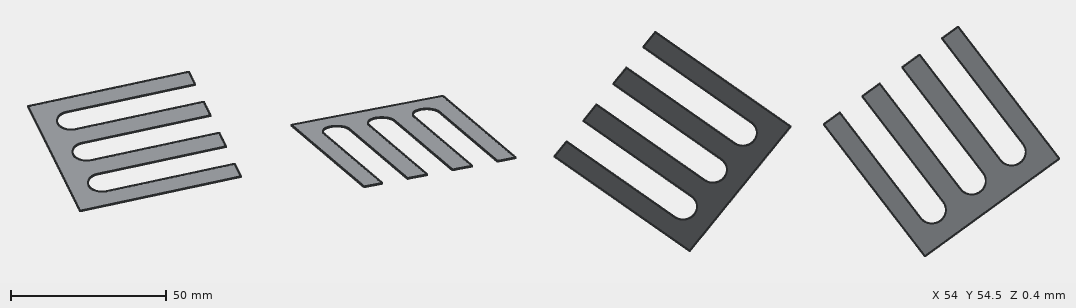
import cadquery as cq

plate_width = 54.0
plate_length = 54.5
plate_thickness = 0.4

slot_count = 3
slot_width = 9.0
slot_pitch = 16.0
base_depth = 6.5

slot_radius = slot_width / 2


def slot_cutter(center_x):
    """Slot with a round inner end, open at the +Y edge of the plate."""
    arc_y = -plate_length / 2 + base_depth + slot_radius
    open_y = plate_length / 2
    return (
        cq.Workplane("XY")
        .moveTo(center_x - slot_radius, open_y)
        .lineTo(center_x - slot_radius, arc_y)
        .threePointArc((center_x, arc_y - slot_radius), (center_x + slot_radius, arc_y))
        .lineTo(center_x + slot_radius, open_y)
        .close()
        .extrude(plate_thickness)
    )


result = cq.Workplane("XY").box(plate_width, plate_length, plate_thickness, centered=(True, True, False))
for index in range(slot_count):
    center_x = (index - (slot_count - 1) / 2) * slot_pitch
    result = result.cut(slot_cutter(center_x))